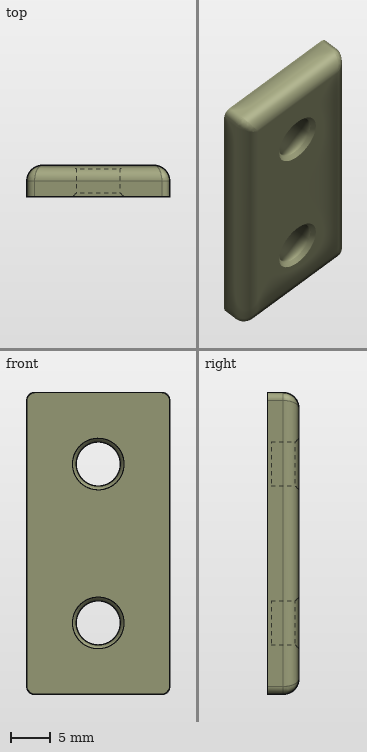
import cadquery as cq

width = 18.0
thickness = 4.0
height = 38.0
corner_radius = 1.0
back_radius = 2.0

hole_diameter = 5.5
hole_spacing = 20.0
hole_chamfer = 0.5

front_y = -thickness / 2
back_y = thickness / 2


def rounded_plate():
    """Plate with its front face at -Y and a rounded rim around the back."""
    plate = cq.Workplane("XY").box(width, thickness, height)
    plate = plate.faces(">Y").edges().fillet(back_radius)
    return plate.edges("|Y").fillet(corner_radius)


def hole_cutter(z):
    """Through hole along Y with a 45 degree countersink at each end."""
    radius = hole_diameter / 2
    profile = [
        (0, front_y),
        (radius + hole_chamfer, front_y),
        (radius, front_y + hole_chamfer),
        (radius, back_y - hole_chamfer),
        (radius + hole_chamfer, back_y),
        (0, back_y),
    ]
    cutter = cq.Workplane("XY").polyline(profile).close().revolve(360, (0, 0, 0), (0, 1, 0))
    return cutter.translate((0, 0, z))


result = rounded_plate()
for hole_z in (-hole_spacing / 2, hole_spacing / 2):
    result = result.cut(hole_cutter(hole_z))